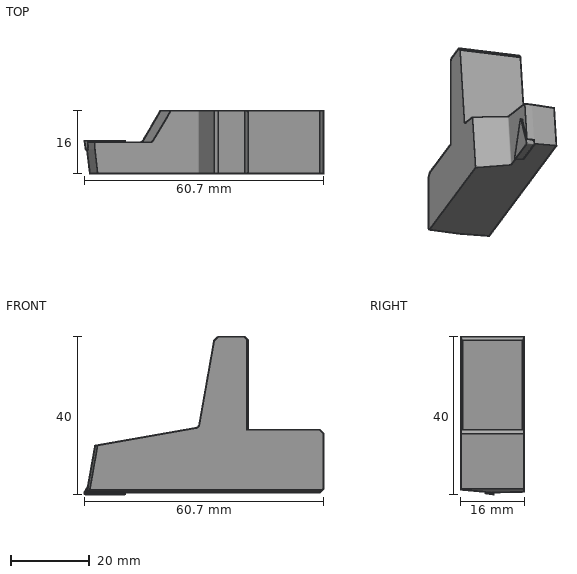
import cadquery as cq
import math

length = 60.65
width = 16.0
height = 40.0
edge_chamfer = 1.0
rake = math.tan(math.radians(10))

post_right = 41.6
post_top_left = 33.9
post_corner_chamfer = 0.4
shoulder_z = 16.45
post_foot_x = 29.0
post_foot_z = 17.05
post_foot_radius = 0.9

ridge_z = 0.5
bottom_front_z = 1.2
bottom_back_z = 0.65

seat_y = 8.0
nose_x = 0.515
nose_relief = 0.65
step_x = 14.55
step_angle = 30.0
step_radius = 0.6

insert_top_y = 8.4
insert_thickness = 2.25
insert_inradius = 3.18
insert_tip_radius = 0.4
insert_relief = 8.0
insert_bottom_y = insert_top_y - insert_thickness

clearance_x = 1.3
clearance_z = 1.8


def extrude_along_y(outline, depth):
    """Prism of an XZ outline from Y = 0 to Y = depth."""
    return cq.Workplane("XZ").polyline(outline).close().extrude(-depth)


def side_profile():
    """Outline of nose, post, shoulder and shank, with its foot fillet."""
    post_corner_z = height - edge_chamfer
    outline = [
        (0, ridge_z),
        (length - edge_chamfer, ridge_z),
        (length, ridge_z + edge_chamfer),
        (length, shoulder_z - edge_chamfer),
        (length - edge_chamfer, shoulder_z),
        (post_right, shoulder_z),
        (post_right, post_corner_z),
        (post_right - edge_chamfer, height),
        (post_top_left, height),
        (post_foot_x + (post_corner_z - post_foot_z) * rake, post_corner_z),
        (post_foot_x, post_foot_z),
        (0, post_foot_z - post_foot_x * rake),
    ]
    profile = extrude_along_y(outline, width)
    foot = cq.selectors.NearestToPointSelector((post_foot_x, width / 2, post_foot_z))
    profile = profile.edges(foot).fillet(post_foot_radius)
    post_side = cq.selectors.NearestToPointSelector(
        (post_right, width / 2, (shoulder_z + post_corner_z) / 2)
    )
    return profile.faces(post_side).edges("|Z").chamfer(post_corner_chamfer)


def leaning_plan():
    """Plan of the nose and step, swept upward along the rake."""
    far_x = length + 0.6
    step_back_x = step_x + (width - seat_y) * math.tan(math.radians(step_angle))
    plan = cq.Wire.makePolygon(
        [
            cq.Vector(nose_x + nose_relief, 0, 0),
            cq.Vector(nose_x, insert_bottom_y, 0),
            cq.Vector(nose_x, seat_y, 0),
            cq.Vector(step_x, seat_y, 0),
            cq.Vector(step_back_x, width, 0),
            cq.Vector(far_x, width, 0),
            cq.Vector(far_x, 0, 0),
        ],
        close=True,
    )
    sweep = cq.Vector(height * rake, 0, height)
    prism = cq.Workplane(cq.Solid.extrudeLinear(plan, [], sweep))
    step_corner = cq.selectors.NearestToPointSelector(
        (step_x + height * rake / 2, seat_y, height / 2)
    )
    return prism.edges(step_corner).fillet(step_radius)


def ridged_section():
    """YZ section that gives the bottom its two slopes."""
    return (
        cq.Workplane("YZ")
        .polyline(
            [
                (0, bottom_front_z),
                (seat_y, ridge_z),
                (width, bottom_back_z),
                (width, height),
                (0, height),
            ]
        )
        .close()
        .extrude(length)
    )


def make_insert():
    """Equilateral insert with rounded tips and relieved flanks."""
    tip_spacing = insert_inradius - insert_tip_radius
    half_side = tip_spacing * math.sqrt(3)
    center_x = half_side + insert_tip_radius
    lower_z = insert_inradius - tip_spacing
    tip_centers = [
        (center_x - half_side, lower_z),
        (center_x + half_side, lower_z),
        (center_x, insert_inradius + 2 * tip_spacing),
    ]
    bottom_inset = insert_thickness * math.tan(math.radians(insert_relief))
    bottom_radius = insert_tip_radius - bottom_inset

    def rounded_triangle(y, radius):
        wire = cq.Workplane("XZ", origin=(0, y, 0))
        for index, (x, z) in enumerate(tip_centers):
            middle = math.radians(210 + 120 * index)
            start = middle - math.radians(60)
            end = middle + math.radians(60)
            arc = [
                (x + radius * math.cos(angle), z + radius * math.sin(angle))
                for angle in (start, middle, end)
            ]
            wire = wire.lineTo(*arc[0]) if index else wire.moveTo(*arc[0])
            wire = wire.threePointArc(arc[1], arc[2])
        return wire.close().val()

    return cq.Workplane(
        cq.Solid.makeLoft(
            [
                rounded_triangle(insert_bottom_y, bottom_radius),
                rounded_triangle(insert_top_y, insert_tip_radius),
            ],
            True,
        )
    )


def tip_clearance():
    """Block removed from the nose around the insert tip, over the insert thickness."""
    return cq.Workplane("XY").box(clearance_x, insert_thickness, clearance_z, centered=False).translate(
        (0, insert_bottom_y, 0)
    )


insert = make_insert()
holder = side_profile().intersect(leaning_plan()).intersect(ridged_section())
holder = holder.cut(tip_clearance()).cut(insert)

result = cq.Compound.makeCompound([*holder.solids().vals(), insert.val()])